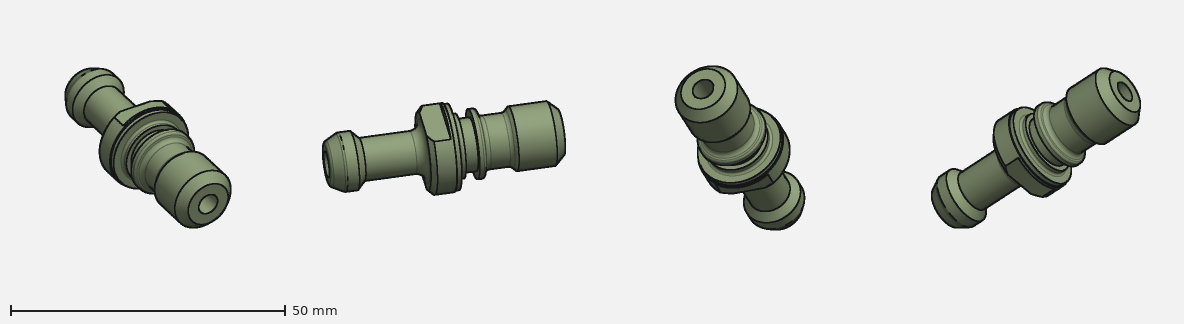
import cadquery as cq
import math

head_r = 5.5
shank_r = 8.0 / 2
flange_r = 8.25
collar_r = 16.0 / 2
pilot_r = 12.0 / 2
neck_r = 10.0 / 2
ring_r = 6.5
bore_r = 2.0

length = 43.6
head_cone_start = 0.45
head_cone_end = 2.35
head_land_start = 2.8
head_land_end = 5.0
flange_start = 17.95
flat_end = 22.1
flange_end = 22.65
collar_end = 23.55
pilot_end = 24.75
ring_start = 27.2
ring_land_end = 28.0
thread_start = 34.6
thread_chamfer_start = 41.73

nose_face_r = 3.55
nose_cone_start_r = 4.3
nose_cone_end_r = 5.3

flange_fillet = 2.0
flange_chamfer = 1.0
pilot_fillet = 0.5
ring_cone_angle = 75
ring_round = 0.52
ring_fillet = 1.0
thread_fillet = 1.15
thread_end_r = 4.27
mouth_r = 2.45
mouth_depth = 0.87
flat_distance = 6.5


def arc_point(center_x, center_r, radius, degrees):
    """Point (x, r) on a profile arc at the given angle."""
    angle = math.radians(degrees)
    return (center_x + radius * math.cos(angle), center_r + radius * math.sin(angle))


def turned_body():
    """Revolve the outer half profile around X."""
    shank_start = head_land_end + head_r - shank_r
    fillet_start = flange_start - flange_fillet
    shank_arc = (fillet_start, shank_r + flange_fillet, flange_fillet)
    pilot_arc = (collar_end + pilot_fillet, pilot_r + pilot_fillet, pilot_fillet)

    slope = math.radians(ring_cone_angle)
    ring_radii = ring_round + ring_fillet
    ring_cone_drop = ring_r - neck_r - ring_radii * (1 - math.cos(slope))
    ring_cone_run = ring_cone_drop / math.tan(slope)
    neck_start = ring_land_end + ring_cone_run + ring_radii * math.sin(slope)
    ring_arc = (ring_land_end, ring_r - ring_round, ring_round)
    neck_arc = (neck_start, neck_r + ring_fillet, ring_fillet)
    ring_round_end = 90 - ring_cone_angle
    ring_round_middle = 90 - ring_cone_angle / 2
    ring_fillet_start = 270 - ring_cone_angle
    ring_fillet_middle = 270 - ring_cone_angle / 2

    fillet_rise = thread_fillet * (1 - math.cos(math.pi / 4))
    fillet_run = thread_fillet * math.sin(math.pi / 4)
    cone_run = pilot_r - neck_r - fillet_rise
    neck_end = thread_start - cone_run - fillet_run
    thread_arc = (neck_end, neck_r + thread_fillet, thread_fillet)

    profile = (
        cq.Workplane("XY")
        .moveTo(0, 0)
        .lineTo(0, nose_face_r)
        .tangentArcPoint((head_cone_start, nose_cone_start_r), relative=False)
        .lineTo(head_cone_end, nose_cone_end_r)
        .tangentArcPoint((head_land_start, head_r), relative=False)
        .lineTo(head_land_end, head_r)
        .lineTo(shank_start, shank_r)
        .lineTo(fillet_start, shank_r)
        .threePointArc(arc_point(*shank_arc, -45), arc_point(*shank_arc, 0))
        .lineTo(flange_start, flange_r - flange_chamfer)
        .lineTo(flange_start + flange_chamfer, flange_r)
        .lineTo(flange_end, flange_r)
        .lineTo(flange_end, collar_r)
        .lineTo(collar_end, collar_r)
        .lineTo(*arc_point(*pilot_arc, 180))
        .threePointArc(arc_point(*pilot_arc, 225), arc_point(*pilot_arc, 270))
        .lineTo(pilot_end, pilot_r)
        .lineTo(pilot_end, neck_r)
        .lineTo(ring_start, neck_r)
        .lineTo(ring_start, ring_r)
        .lineTo(ring_land_end, ring_r)
        .threePointArc(arc_point(*ring_arc, ring_round_middle), arc_point(*ring_arc, ring_round_end))
        .lineTo(*arc_point(*neck_arc, ring_fillet_start))
        .threePointArc(arc_point(*neck_arc, ring_fillet_middle), arc_point(*neck_arc, 270))
        .lineTo(neck_end, neck_r)
        .threePointArc(arc_point(*thread_arc, -67.5), arc_point(*thread_arc, -45))
        .lineTo(thread_start, pilot_r)
        .lineTo(thread_chamfer_start, pilot_r)
        .lineTo(length, thread_end_r)
        .lineTo(length, 0)
        .close()
    )
    return profile.revolve(360, (0, 0, 0), (1, 0, 0))


def coolant_bore():
    """Through bore with a conical mouth at the head."""
    profile = (
        cq.Workplane("XY")
        .moveTo(0, 0)
        .lineTo(0, mouth_r)
        .lineTo(mouth_depth, bore_r)
        .lineTo(length, bore_r)
        .lineTo(length, 0)
        .close()
    )
    return profile.revolve(360, (0, 0, 0), (1, 0, 0))


def wrench_flat(side):
    """Block removed above (side=1) or below (side=-1) the flange."""
    flat_length = flat_end - flange_start
    depth = flange_r - flat_distance
    center = ((flange_start + flat_end) / 2, 0, side * (flat_distance + depth / 2))
    return cq.Workplane("XY").box(flat_length, 2 * flange_r, depth).translate(center)


result = turned_body().cut(coolant_bore())
for side in (1, -1):
    result = result.cut(wrench_flat(side))